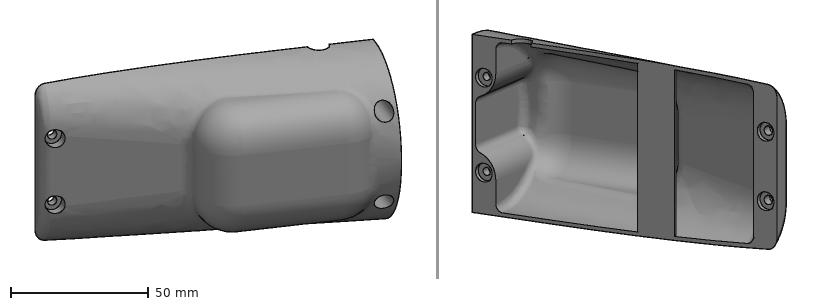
import cadquery as cq
import math

LENGTH = 128.5
HALF_WIDTH = 33.5
LOW_HEIGHT = 9.0
SLOPE = math.tan(math.radians(12))
LOW_EDGE_RADIUS = 18.8
HIGH_EDGE_RADIUS = 32.8
END_ROUND = 4.0
WALL = 1.5
SEAM_TOLERANCE = 0.001
SKIRT = 25.0

BOX_TOP = 37.9
BOX_START, BOX_END = 53.1, 122.8
BOX_HALF_WIDTH = 25.0
BOX_ROUND = 15.0
BOX_BLEND = 4.0

CAVITY_START = 9.8
CAVITY_END = LENGTH - WALL
CAVITY_ROUND = 3.0
POST_START = 118.5
POST_INNER_Z = 10.0
POST_ROUND = 10.0
POST_OVERRUN = 1.0

STRAP_START, STRAP_END = 43.2, 58.7
STRAP_THICKNESS = 1.0

NOTCH_Y = 107.7
NOTCH_RADIUS = 4.1

LOW_SCREWS = (4.8, 13.05, 3.5, 7.0)
HIGH_SCREWS = (123.5, 17.85, 3.0, 7.0)
FACE_RECESS_DIAMETER = 7.0
FACE_RECESS_DEPTH = 2.0
HEAD_SEAT = 6.0


def box(x0, x1, y0, y1, z0, z1):
    return cq.Workplane("XY").box(x1 - x0, y1 - y0, z1 - z0, centered=False).translate((x0, y0, z0))


def section(y, inset):
    """Cover section at Y: flat crown, an arc to each side wall, straight skirt below."""
    edge_radius = LOW_EDGE_RADIUS + (HIGH_EDGE_RADIUS - LOW_EDGE_RADIUS) * y / LENGTH
    crown_half = HALF_WIDTH - edge_radius
    radius = edge_radius - inset
    crown = LOW_HEIGHT + SLOPE * y - inset
    side = HALF_WIDTH - inset
    shoulder = crown - radius
    mid_x = shoulder + radius * math.sqrt(0.5)
    mid_z = crown_half + radius * math.sqrt(0.5)
    return (
        cq.Workplane("XY")
        .moveTo(-SKIRT, -side)
        .lineTo(shoulder, -side)
        .threePointArc((mid_x, -mid_z), (crown, -crown_half))
        .lineTo(crown, crown_half)
        .threePointArc((mid_x, mid_z), (shoulder, side))
        .lineTo(-SKIRT, side)
        .close()
        .val()
        .rotate(cq.Vector(0, 0, 0), cq.Vector(1, 0, 0), -90)
        .mirror("XY")
        .moved(cq.Location(cq.Vector(0, y, 0)))
    )


def cover(y0, y1, inset):
    solid = cq.Solid.makeLoft([section(y0, inset), section(y1, inset)], True)
    return cq.Workplane(obj=solid)


def bulge(inset):
    """Rounded box; its foot stays inside the cover."""
    half = BOX_HALF_WIDTH - inset
    block = box(-SKIRT, BOX_TOP - inset, BOX_START + inset, BOX_END - inset, -half, half)
    return block.edges("|X or >X").fillet(BOX_ROUND - inset)


def blended(base, inset):
    """Join the box to a cover and round the seam between them."""
    top = bulge(inset)

    def on_seam(edge):
        point = cq.Vertex.makeVertex(*edge.positionAt(0.5).toTuple())
        return all(body.val().distance(point) < SEAM_TOLERANCE for body in (base, top))

    joined = base.union(top)
    seam = [edge for edge in joined.edges().vals() if on_seam(edge)]
    return joined.newObject(seam).fillet(BOX_BLEND + inset)


def outer_body():
    base = cover(0, LENGTH, 0).faces("<Y").edges("not <X").fillet(END_ROUND)
    return blended(base, 0)


def slab(y, half_width):
    """Selector for what lies on the cross plane at Y, up to a half width."""
    margin = 0.1
    half = half_width + margin
    return cq.selectors.BoxSelector((-LENGTH, y - margin, -half), (LENGTH, y + margin, half))


def post_blanks():
    """Full-depth blocks for the two high-end corners, each with a rounded inner corner."""
    upper = box(-SKIRT, BOX_TOP, POST_START, LENGTH + POST_OVERRUN, POST_INNER_Z, HALF_WIDTH)
    upper = upper.edges("|X").edges(slab(POST_START, POST_INNER_Z)).fillet(POST_ROUND)
    return upper.union(upper.mirror("XY"))


def cavity():
    """Space under the cover and box, less the posts, with its roof rounded at both ends."""
    base = cover(CAVITY_START, CAVITY_END, WALL).faces("<Y").edges("not <X").fillet(CAVITY_ROUND)
    space = blended(base, WALL).cut(post_blanks())
    space = space.faces(">Y").edges("not (|X or <X)").fillet(CAVITY_ROUND)
    return space.faces(slab(POST_START, HALF_WIDTH)).edges("not <X").fillet(CAVITY_ROUND)


def strap():
    return box(0, STRAP_THICKNESS, STRAP_START, STRAP_END, -HALF_WIDTH, HALF_WIDTH)


def along_x(diameter, x0, x1, y, z):
    return cq.Workplane("YZ", origin=(x0, y, z)).circle(diameter / 2).extrude(x1 - x0)


def screw_hole(y, z, shank_diameter, head_diameter):
    """Through hole with a recess in the mounting face and a deep head recess outside."""
    return (
        along_x(shank_diameter, 0, BOX_TOP, y, z)
        .union(along_x(FACE_RECESS_DIAMETER, 0, FACE_RECESS_DEPTH, y, z))
        .union(along_x(head_diameter, HEAD_SEAT, BOX_TOP, y, z))
    )


def cable_notch():
    """Round cut across the rim of the +Z wall, overrunning the wall on both faces."""
    return (
        cq.Workplane("XY", origin=(0, NOTCH_Y, HALF_WIDTH - 2 * WALL))
        .circle(NOTCH_RADIUS)
        .extrude(3 * WALL)
    )


behind_face = box(-2 * SKIRT, 0, -LENGTH, 2 * LENGTH, -LENGTH, LENGTH)

result = outer_body().cut(behind_face)
result = result.cut(cavity().cut(strap()))
for hole_y, half_spacing, shank, head in (LOW_SCREWS, HIGH_SCREWS):
    for hole_z in (half_spacing, -half_spacing):
        result = result.cut(screw_hole(hole_y, hole_z, shank, head))
result = result.cut(cable_notch())